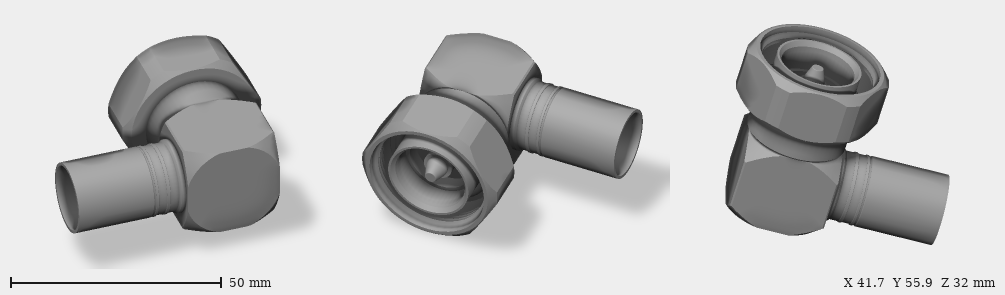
import cadquery as cq
import math


total_length = 41.7
total_width = 55.85

nut_length = 13.55
nut_flats = 32.0
nut_corner_radius = 17.5
nut_face_radius = 15.75
nut_bevel = nut_corner_radius - nut_face_radius
mouth_radius = 14.8
mouth_depth = 1.7
thread_lead_in = 1.0
thread_minor_radius = 13.8
thread_major_radius = 14.5
thread_pitch = 1.0
thread_turns = 7
nut_floor = 10.05

barrel_radius = 10.4
seal_outer_radius = 12.45
seal_section_radius = (seal_outer_radius - barrel_radius) / 2
seal_ring_radius = barrel_radius + seal_section_radius

barrel_front = 0.85
barrel_mouth_radius = 9.85
barrel_bore_radius = 9.0
barrel_mouth_depth = 1.1
ledge_position = 8.2
inner_bore_radius = 8.0
inner_floor = 11.75

pin_front = 2.05
pin_tip_radius = 1.4
pin_tip_fillet = 0.15
pin_radius = 2.6
pin_taper_length = 3.45
pin_shoulder_fillet = 2.25
boss_front = 6.4
boss_radius = 3.6

neck_radius = 12.1
neck_bevel = 0.55

block_start = 21.35
block_length = total_length - block_start
block_half = 11.55
block_corner_radius = 16.1
block_face_radius = 12.1
block_bevel = block_corner_radius - block_face_radius
block_center = block_start + block_length / 2

ferrule_end = total_width - nut_corner_radius
ferrule_start = 19.3
ferrule_radius = 8.6
ferrule_bevel = 0.15
collar_radius = 8.95
collar_end = 13.2
ridge_bevel = 0.1
stem_radius = 8.4
collar_bevel = collar_radius - stem_radius
ridges = [(15.25, 16.15), (18.15, 18.9)]

cable_bore_radius = 7.9
cable_bore_depth = 6.4
sleeve_radius = 7.1
sleeve_lead_in = 0.55
sleeve_end = 16.75
funnel_mouth_radius = 6.75
funnel_radius = 6.35
funnel_length = 1.1
core_radius = 5.9
core_end = 11.15


def revolve_about_x(points):
    """Revolve a closed (position, radius) outline about the coupling axis."""
    return cq.Workplane("XY").polyline(points).close().revolve(360, (0, 0, 0), (1, 0, 0))


def revolve_about_ferrule(points):
    """Revolve a closed (distance along -Y, radius) outline about the ferrule axis."""
    outline = [(block_center + radius, -distance) for distance, radius in points]
    axis_start = (block_center, 0, 0)
    axis_end = (block_center, 1, 0)
    return cq.Workplane("XY").polyline(outline).close().revolve(360, axis_start, axis_end)


def beveled_round(start, length, radius, bevel):
    """Cylinder on the coupling axis with 45 degree bevels at both ends."""
    return cq.Workplane("YZ", origin=(start, 0, 0)).circle(radius).extrude(length).edges().chamfer(bevel)


def make_nut():
    """Hexagon with rounded corners, beveled ends and a threaded mouth."""
    hexagon_diameter = nut_flats / math.cos(math.pi / 6)
    hexagon = cq.Workplane("YZ").polygon(6, hexagon_diameter).extrude(nut_length)
    nut = hexagon.intersect(beveled_round(0, nut_length, nut_corner_radius, nut_bevel))
    thread_start = mouth_depth + thread_lead_in
    mouth = revolve_about_x([
        (0, 0),
        (0, mouth_radius),
        (mouth_depth, mouth_radius),
        (thread_start, thread_minor_radius),
        (nut_floor, thread_minor_radius),
        (nut_floor, 0),
    ])
    nut = nut.cut(mouth)
    for turn in range(thread_turns):
        groove_start = thread_start + turn * thread_pitch
        groove = revolve_about_x([
            (groove_start, 0),
            (groove_start, thread_minor_radius),
            (groove_start + thread_pitch / 2, thread_major_radius),
            (groove_start + thread_pitch, thread_minor_radius),
            (groove_start + thread_pitch, 0),
        ])
        nut = nut.cut(groove)
    return nut


def make_seal():
    """Round-section ring half sunk into the nut floor."""
    ring = cq.Solid.makeTorus(
        seal_ring_radius,
        seal_section_radius,
        cq.Vector(nut_floor, 0, 0),
        cq.Vector(1, 0, 0),
    )
    return cq.Workplane(obj=ring)


def make_barrel():
    """Barrel projecting from the nut floor."""
    return cq.Workplane("YZ", origin=(barrel_front, 0, 0)).circle(barrel_radius).extrude(nut_length - barrel_front)


def make_barrel_bore():
    """Stepped bore with a beveled mouth and a flat floor."""
    return revolve_about_x([
        (barrel_front, 0),
        (barrel_front, barrel_mouth_radius),
        (barrel_front + barrel_mouth_depth, barrel_bore_radius),
        (ledge_position, barrel_bore_radius),
        (ledge_position, inner_bore_radius),
        (inner_floor, inner_bore_radius),
        (inner_floor, 0),
    ])


def make_pin():
    """Centre pin with a tapered, rounded tip, standing on its boss."""
    shoulder = pin_front + pin_taper_length
    pin = revolve_about_x([
        (pin_front, 0),
        (pin_front, pin_tip_radius),
        (shoulder, pin_radius),
        (nut_length, pin_radius),
        (nut_length, 0),
    ])
    pin = pin.faces("%CONE").edges(">X").fillet(pin_shoulder_fillet)
    pin = pin.faces("<X").edges().fillet(pin_tip_fillet)
    boss = cq.Workplane("YZ", origin=(boss_front, 0, 0)).circle(boss_radius).extrude(nut_length - boss_front)
    return pin.union(boss)


def make_neck():
    """Plain round neck, beveled where it meets the block."""
    return (
        cq.Workplane("YZ", origin=(nut_floor, 0, 0))
        .circle(neck_radius)
        .extrude(block_start - nut_floor)
        .faces(">X").edges().chamfer(neck_bevel)
    )


def make_block():
    """Square elbow block with turned corners and conical ends."""
    side = 2 * block_half
    square = cq.Workplane("YZ", origin=(block_start, 0, 0)).rect(side, side).extrude(block_length)
    return square.intersect(beveled_round(block_start, block_length, block_corner_radius, block_bevel))


def make_ferrule():
    """Collar, ridged stem and crimp ferrule."""
    outline = [
        (0, 0),
        (0, collar_radius),
        (collar_end - collar_bevel, collar_radius),
        (collar_end, stem_radius),
    ]
    for ridge_start, ridge_end in ridges:
        outline += [
            (ridge_start, stem_radius),
            (ridge_start, ferrule_radius - ridge_bevel),
            (ridge_start + ridge_bevel, ferrule_radius),
            (ridge_end - ridge_bevel, ferrule_radius),
            (ridge_end, ferrule_radius - ridge_bevel),
            (ridge_end, stem_radius),
        ]
    outline += [
        (ferrule_start, stem_radius),
        (ferrule_start, ferrule_radius - ferrule_bevel),
        (ferrule_start + ferrule_bevel, ferrule_radius),
        (ferrule_end, ferrule_radius),
        (ferrule_end, 0),
    ]
    return revolve_about_ferrule(outline)


def make_cable_bore():
    """Bore narrowing through a lead-in, a sleeve and a funnel to a flat floor."""
    sleeve_start = ferrule_end - cable_bore_depth
    return revolve_about_ferrule([
        (ferrule_end, 0),
        (ferrule_end, cable_bore_radius),
        (sleeve_start, cable_bore_radius),
        (sleeve_start - sleeve_lead_in, sleeve_radius),
        (sleeve_end, sleeve_radius),
        (sleeve_end, funnel_mouth_radius),
        (sleeve_end - funnel_length, funnel_radius),
        (sleeve_end - funnel_length, core_radius),
        (core_end, core_radius),
        (core_end, 0),
    ])


coupling = make_nut().union(make_neck()).union(make_seal()).union(make_barrel())
coupling = coupling.cut(make_barrel_bore()).union(make_pin())
elbow = make_block().union(make_ferrule()).cut(make_cable_bore())
result = coupling.union(elbow)